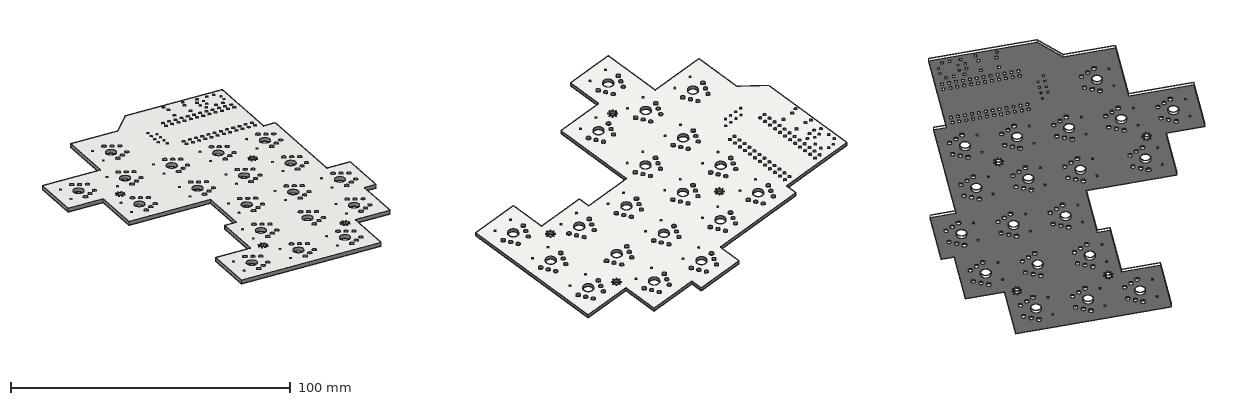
import cadquery as cq
import math


BOARD_WIDTH = 125.67
BOARD_HEIGHT = 104.82
THICKNESS = 1.6

KEY_PITCH = 19.05
HALF_KEY = KEY_PITCH / 2
COLUMN_COUNT = 6
FIRST_COLUMN_X = BOARD_WIDTH - (COLUMN_COUNT - 0.5) * KEY_PITCH

KEY_RUNS = [
    (0, 3.75, 1),
    (1, 1.0, 5),
    (2, 1.0, 3),
    (2, 4.25, 1),
    (3, 0.5, 3),
    (4, 0.75, 3),
    (5, 1.5, 3),
]

KEY_WITHOUT_DIODE = (4, 1.75)

STEM_DIAMETER = 3.99
SIDE_POST_DIAMETER = 1.7
SIDE_POST_X = 5.08
PIN_DIAMETER = 1.5
PIN_OFFSETS = [(3.81, 2.54), (2.54, 5.08)]
DIODE_DIAMETER = 0.7
DIODE_X = 3.9
DIODE_Y = -5.3

CORNER_WIDTH = 8.4
CORNER_DROP = 7.75
CORNER_DEPTH = 54.0

MOUNT_DIAMETER = 2.3
VIA_DIAMETER = 0.4
VIA_COUNT = 8
VIA_RING_RADIUS = 1.6
LEFT_MOUNT_X = 49.4
RIGHT_MOUNT_X = 107.0
LEFT_MOUNT_DEPTHS = [29.25, 83.45]
RIGHT_MOUNT_DEPTHS = [23.5, 57.0]

HEADER_PITCH = 2.54

CONTROLLER_PIN_COUNT = 12
CONTROLLER_PIN_DIAMETER = 1.1
CONTROLLER_ROW_SPACING = 15.24
CONTROLLER_FIRST_ROW_X = 11.2
CONTROLLER_ROW_SHIFT = 2.25
CONTROLLER_TOP_DEPTH = 16.85

JACK_X = 5.25
JACK_SIDE_PIN_X = 3.4
JACK_SIDE_PIN_DEPTHS = [18.85, 21.65, 25.65]
JACK_INNER_PIN_X = 1.15
JACK_INNER_PIN_DEPTH = 26.85
JACK_PIN_DIAMETER = 1.0
JACK_POST_DEPTHS = [17.1, 24.2]
JACK_POST_DIAMETER = 0.8

RESET_PIN_DIAMETER = 1.1
RESET_PIN_XS = [3.64, 8.08]
RESET_PIN_DEPTHS = [31.75, 38.4]
RESET_TAB_DIAMETER = 1.0
RESET_TAB_X = 1.3
RESET_TAB_DEPTHS = [31.2, 39.05]

DISPLAY_PIN_COUNT = 4
DISPLAY_PIN_DIAMETER = 0.81
DISPLAY_UPPER_START = (17.35, 50.62)
DISPLAY_LOWER_START = (15.05, 53.08)


def from_top(depth):
    """Y of a point at the given depth below the board's top edge."""
    return BOARD_HEIGHT - depth


def column_x(column):
    return FIRST_COLUMN_X + column * KEY_PITCH


def row_y(pitches):
    return from_top(pitches * KEY_PITCH)


def drill(board, diameter, points):
    """Cut round through holes at the given points."""
    holes = cq.Workplane("XY").pushPoints(points).circle(diameter / 2).extrude(THICKNESS)
    return board.cut(holes)


def mirrored(x, y):
    return [(-x, y), (x, y)]


def make_plate():
    edge_x = [column_x(column) + HALF_KEY for column in range(COLUMN_COUNT)]
    outline = [
        (0, row_y(0.75)),
        (edge_x[0], row_y(0.75)),
        (edge_x[0], row_y(0.5)),
        (edge_x[2], row_y(0.5)),
        (edge_x[2], row_y(0)),
        (edge_x[3], row_y(0)),
        (edge_x[3], row_y(0.25)),
        (edge_x[4], row_y(0.25)),
        (edge_x[4], row_y(1)),
        (edge_x[5], row_y(1)),
        (edge_x[5], row_y(4)),
        (edge_x[4], row_y(4)),
        (edge_x[4], row_y(3.25)),
        (edge_x[3], row_y(3.25)),
        (edge_x[3], row_y(3)),
        (edge_x[2], row_y(3)),
        (edge_x[2], row_y(4.75)),
        (edge_x[1], row_y(4.75)),
        (edge_x[1], 0),
        (edge_x[0], 0),
        (edge_x[0], row_y(4.25)),
        (CORNER_WIDTH, row_y(4.25)),
        (CORNER_WIDTH, from_top(CORNER_DEPTH + CORNER_DROP)),
        (0, from_top(CORNER_DEPTH)),
    ]
    return cq.Workplane("XY").polyline(outline).close().extrude(THICKNESS)


def keys():
    """Every key as (column index, depth in key pitches)."""
    return [
        (column, first_depth + row)
        for column, first_depth, count in KEY_RUNS
        for row in range(count)
    ]


def at_keys(key_list, offsets):
    """The given offsets, repeated around the centre of each key."""
    return [
        (column_x(column) + dx, row_y(depth) + dy)
        for column, depth in key_list
        for dx, dy in offsets
    ]


def drill_keys(board):
    all_keys = keys()
    diode_keys = [key for key in all_keys if key != KEY_WITHOUT_DIODE]
    pins = [point for x, y in PIN_OFFSETS for point in mirrored(x, y)]
    board = drill(board, STEM_DIAMETER, at_keys(all_keys, [(0, 0)]))
    board = drill(board, SIDE_POST_DIAMETER, at_keys(all_keys, mirrored(SIDE_POST_X, 0)))
    board = drill(board, PIN_DIAMETER, at_keys(all_keys, pins))
    return drill(board, DIODE_DIAMETER, at_keys(diode_keys, mirrored(DIODE_X, DIODE_Y)))


def drill_mounts(board):
    mounts = [(LEFT_MOUNT_X, from_top(depth)) for depth in LEFT_MOUNT_DEPTHS]
    mounts += [(RIGHT_MOUNT_X, from_top(depth)) for depth in RIGHT_MOUNT_DEPTHS]
    angles = [2 * math.pi * index / VIA_COUNT for index in range(VIA_COUNT)]
    vias = [
        (x + VIA_RING_RADIUS * math.cos(angle), y + VIA_RING_RADIUS * math.sin(angle))
        for x, y in mounts
        for angle in angles
    ]
    board = drill(board, MOUNT_DIAMETER, mounts)
    return drill(board, VIA_DIAMETER, vias)


def drill_controller(board):
    pins = [
        (
            CONTROLLER_FIRST_ROW_X + side * CONTROLLER_ROW_SPACING + shift,
            from_top(CONTROLLER_TOP_DEPTH + index * HEADER_PITCH),
        )
        for side in range(2)
        for shift in (0, CONTROLLER_ROW_SHIFT)
        for index in range(CONTROLLER_PIN_COUNT)
    ]
    return drill(board, CONTROLLER_PIN_DIAMETER, pins)


def drill_jack(board):
    def jack_pairs(x, depths):
        return [(JACK_X + dx, y) for depth in depths for dx, y in mirrored(x, from_top(depth))]

    pins = jack_pairs(JACK_SIDE_PIN_X, JACK_SIDE_PIN_DEPTHS)
    pins += jack_pairs(JACK_INNER_PIN_X, [JACK_INNER_PIN_DEPTH])
    board = drill(board, JACK_PIN_DIAMETER, pins)
    return drill(board, JACK_POST_DIAMETER, jack_pairs(JACK_INNER_PIN_X, JACK_POST_DEPTHS))


def drill_reset_switch(board):
    pins = [(x, from_top(depth)) for x in RESET_PIN_XS for depth in RESET_PIN_DEPTHS]
    tabs = [(RESET_TAB_X, from_top(depth)) for depth in RESET_TAB_DEPTHS]
    board = drill(board, RESET_PIN_DIAMETER, pins)
    return drill(board, RESET_TAB_DIAMETER, tabs)


def drill_display_header(board):
    pins = [
        (start_x + index * HEADER_PITCH, from_top(depth))
        for start_x, depth in (DISPLAY_UPPER_START, DISPLAY_LOWER_START)
        for index in range(DISPLAY_PIN_COUNT)
    ]
    return drill(board, DISPLAY_PIN_DIAMETER, pins)


board = make_plate()
board = drill_keys(board)
board = drill_mounts(board)
board = drill_controller(board)
board = drill_jack(board)
board = drill_reset_switch(board)
result = drill_display_header(board)